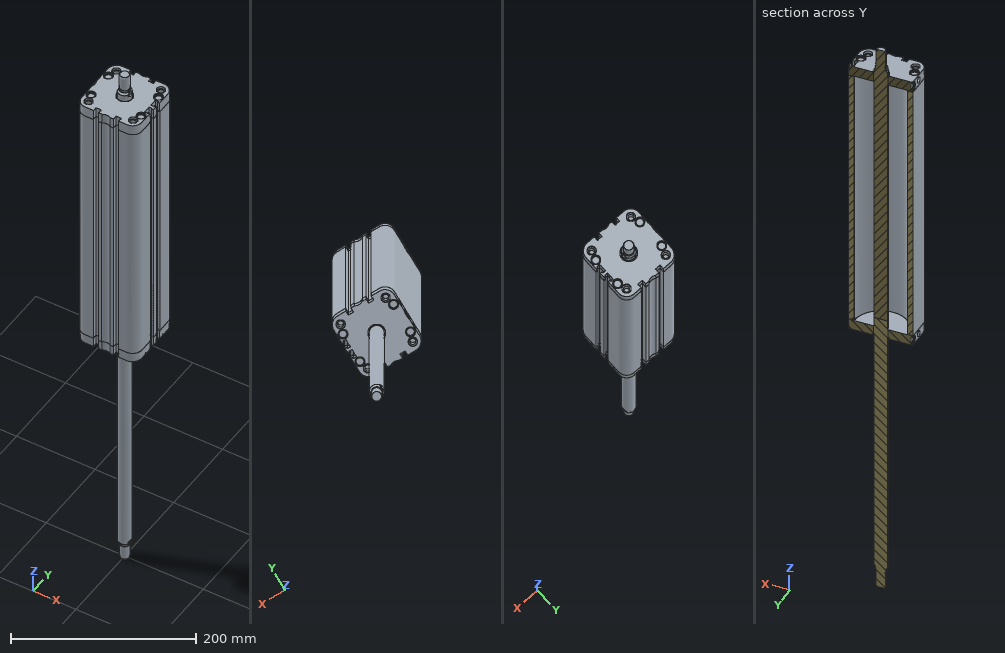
import cadquery as cq
import math

TOTAL_LENGTH = 709.0
WIDTH = 77.0
CORNER_RADIUS = 12.0
CAP_DRAFT = 1.8
UPPER_TIP_HEIGHT = 31.0
HOUSING_LENGTH = 347.5
CAP_HEIGHT = 13.0
BORE_DIAMETER = 63.0

ROD_DIAMETER = 16.0
ROD_CHAMFER = 2.0
THREAD_DIAMETER = 12.0
THREAD_TIP_DIAMETER = 10.5
THREAD_LENGTH = 22.0
THREAD_CHAMFER = 3.0
NECK_DIAMETER = 11.0
NECK_LENGTH = 3.0
FLAT_WIDTH = 13.5
FLAT_LENGTH = 4.0
FLAT_RUNOUT_RADIUS = 2.0

SLOT_WIDTH = 6.5
SLOT_DEPTH = 6.0
SIDE_SLOT_OFFSET = 13.0
SENSOR_SLOT_OFFSET = 6.5
SENSOR_SLOT_DEPTH = 6.5
SENSOR_SLOT_INNER_WIDTH = 9.0
SENSOR_SLOT_LIP = 3.0
SCOOP_DIAMETER = 18.0
SCOOP_DEPTH = 1.8

ROD_RECESS_DIAMETER = 19.0
ROD_RECESS_DEPTH = 2.0
MOUNT_OFFSET = 28.5
MOUNT_DIAMETER = 6.7
MOUNT_COUNTERBORE_DIAMETER = 10.0
MOUNT_COUNTERBORE_DEPTH = 3.0
SCREW_X = 32.0
SCREW_Y = 18.0
SCREW_DIAMETER = 8.5
SCREW_DEPTH = 3.0
SCREW_COUNTERBORE_DIAMETER = 10.5
SCREW_COUNTERBORE_DEPTH = 1.5
PORT_DIAMETER = 12.0
PORT_CORE_DIAMETER = 8.5
PORT_RECESS_DEPTH = 1.05
PORT_DEPTH = 2.0
SIDE_HOLE_OFFSET = 15.0
SIDE_HOLE_DIAMETER = 6.7
SIDE_HOLE_DEPTH = 3.0

HALF_WIDTH = WIDTH / 2
TOP_FACE = TOTAL_LENGTH / 2 - UPPER_TIP_HEIGHT
BOTTOM_FACE = TOP_FACE - HOUSING_LENGTH
SIGNS = (-1, 1)


def side_grooves(bottom, height):
    """Cutters for two slots and a shallow round scoop on each of the -Y and +Y faces."""
    base = cq.Workplane("XY", origin=(0, 0, bottom))
    slot_places = [(x * SIDE_SLOT_OFFSET, y * HALF_WIDTH) for x in SIGNS for y in SIGNS]
    slots = base.pushPoints(slot_places).rect(SLOT_WIDTH, 2 * SLOT_DEPTH).extrude(height)
    scoop_y = HALF_WIDTH - SCOOP_DEPTH + SCOOP_DIAMETER / 2
    scoops = base.pushPoints([(0, y * scoop_y) for y in SIGNS]).circle(SCOOP_DIAMETER / 2).extrude(height)
    return slots.union(scoops)


def sensor_grooves(bottom, height):
    """Cutters for the two T-slots on the +X face."""
    base = cq.Workplane("XY", origin=(0, 0, bottom))
    inner_depth = SENSOR_SLOT_DEPTH - SENSOR_SLOT_LIP
    inner_x = HALF_WIDTH - SENSOR_SLOT_LIP - inner_depth / 2
    mouth_places = [(HALF_WIDTH, y * SENSOR_SLOT_OFFSET) for y in SIGNS]
    inner_places = [(inner_x, y * SENSOR_SLOT_OFFSET) for y in SIGNS]
    mouths = base.pushPoints(mouth_places).rect(2 * SENSOR_SLOT_DEPTH, SLOT_WIDTH).extrude(height)
    inners = base.pushPoints(inner_places).rect(inner_depth, SENSOR_SLOT_INNER_WIDTH).extrude(height)
    return mouths.union(inners)


def profile(bottom, height, draft=0):
    """Rounded square with its outer grooves, extruded along Z."""
    outline = cq.Sketch().rect(WIDTH, WIDTH).vertices().fillet(CORNER_RADIUS)
    body = cq.Workplane("XY", origin=(0, 0, bottom)).placeSketch(outline).extrude(height, taper=draft)
    return body.cut(side_grooves(bottom, height)).cut(sensor_grooves(bottom, height))


def make_barrel():
    """Hollow profile between the caps."""
    length = HOUSING_LENGTH - 2 * CAP_HEIGHT
    bottom = BOTTOM_FACE + CAP_HEIGHT
    bore = cq.Workplane("XY", origin=(0, 0, bottom)).circle(BORE_DIAMETER / 2).extrude(length)
    return profile(bottom, length).cut(bore)


def make_cap():
    """Cap standing on Z = 0 with its outer face up."""
    cap_body = profile(0, CAP_HEIGHT, CAP_DRAFT)
    top = cq.Workplane("XY", origin=(0, 0, CAP_HEIGHT))

    cap_body = cap_body.cut(top.circle(ROD_DIAMETER / 2).extrude(-CAP_HEIGHT))
    cap_body = cap_body.cut(top.circle(ROD_RECESS_DIAMETER / 2).extrude(-ROD_RECESS_DEPTH))

    mounts = top.rect(2 * MOUNT_OFFSET, 2 * MOUNT_OFFSET, forConstruction=True).vertices()
    cap_body = cap_body.cut(mounts.circle(MOUNT_DIAMETER / 2).extrude(-CAP_HEIGHT))
    cap_body = cap_body.cut(mounts.circle(MOUNT_COUNTERBORE_DIAMETER / 2).extrude(-MOUNT_COUNTERBORE_DEPTH))

    screws = top.rect(2 * SCREW_X, 2 * SCREW_Y, forConstruction=True).vertices()
    cap_body = cap_body.cut(screws.circle(SCREW_DIAMETER / 2).extrude(-SCREW_DEPTH))
    cap_body = cap_body.cut(screws.circle(SCREW_COUNTERBORE_DIAMETER / 2).extrude(-SCREW_COUNTERBORE_DEPTH))

    side = cq.Workplane("YZ", origin=(-HALF_WIDTH, 0, CAP_HEIGHT / 2))
    cap_body = cap_body.cut(side.circle(PORT_DIAMETER / 2).extrude(PORT_RECESS_DEPTH))
    cap_body = cap_body.cut(side.circle(PORT_CORE_DIAMETER / 2).extrude(PORT_DEPTH))
    side_holes = side.pushPoints([(y * SIDE_HOLE_OFFSET, 0) for y in SIGNS])
    return cap_body.cut(side_holes.circle(SIDE_HOLE_DIAMETER / 2).extrude(SIDE_HOLE_DEPTH))


def make_rod():
    """Rod from Z = 0 up to its threaded tip."""
    tip = TOTAL_LENGTH / 2
    shoulder = tip - THREAD_LENGTH
    rod_radius = ROD_DIAMETER / 2
    thread_radius = THREAD_DIAMETER / 2
    tip_radius = THREAD_TIP_DIAMETER / 2
    neck_radius = NECK_DIAMETER / 2
    rod = (
        cq.Workplane("XZ")
        .moveTo(0, 0)
        .lineTo(rod_radius, 0)
        .lineTo(rod_radius, shoulder - ROD_CHAMFER)
        .lineTo(rod_radius - ROD_CHAMFER, shoulder)
        .lineTo(neck_radius, shoulder)
        .lineTo(neck_radius, shoulder + NECK_LENGTH)
        .lineTo(thread_radius, shoulder + NECK_LENGTH)
        .lineTo(thread_radius, tip - THREAD_CHAMFER)
        .lineTo(tip_radius, tip)
        .lineTo(0, tip)
        .close()
        .revolve(360, (0, 0), (0, 1))
    )
    depth = rod_radius - FLAT_WIDTH / 2
    runout = math.sqrt(FLAT_RUNOUT_RADIUS**2 - (FLAT_RUNOUT_RADIUS - depth) ** 2)
    flat = (
        cq.Workplane("XZ", origin=(0, rod_radius, 0))
        .moveTo(FLAT_WIDTH / 2, shoulder)
        .lineTo(FLAT_WIDTH / 2, shoulder - FLAT_LENGTH)
        .radiusArc((rod_radius, shoulder - FLAT_LENGTH - runout), FLAT_RUNOUT_RADIUS)
        .lineTo(rod_radius, shoulder)
        .close()
        .extrude(ROD_DIAMETER)
    )
    return rod.cut(flat).cut(flat.mirror("YZ"))


barrel = make_barrel()

caps = []
rods = []
for end in SIGNS:
    cap = make_cap()
    rod = make_rod()
    if end < 0:
        cap = cap.mirror("XY").translate((0, 0, BOTTOM_FACE + CAP_HEIGHT))
        rod = rod.mirror("XY")
    else:
        cap = cap.translate((0, 0, TOP_FACE - CAP_HEIGHT))
    caps.append(cap.val())
    rods.append(rod.val())

result = cq.Compound.makeCompound([barrel.val(), *caps, *rods])